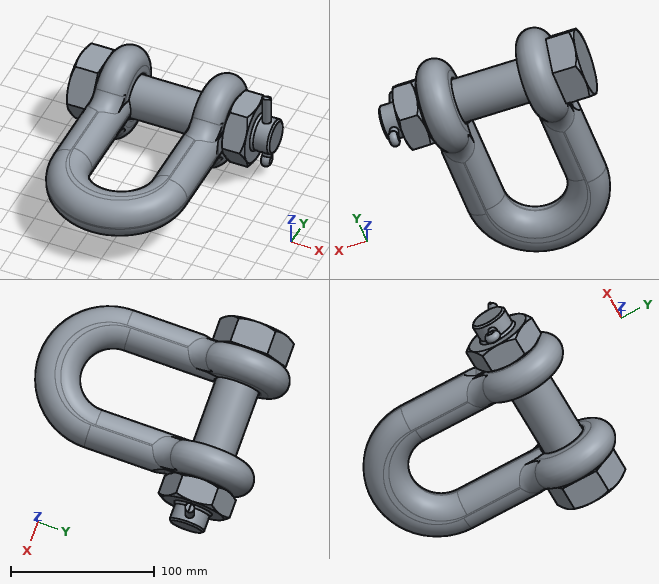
import cadquery as cq
import math


overall_length = 172.0
leg_offset = 37.2
leg_width = 28.7
seam_half = 0.5
inner_bend_y = -83.3
bore_radius = 16.7

eye_radius = 34.0
rim_radius = 11.5
pad_radius = 17.9
pad_half = 12.0
neck_fillet = 20.6
neck_half = 11.4
neck_sink = 0.02
neck_steps = 4

flat_end_y = -27.7
flat_runout_y = -35.5

shank_radius = 15.8
head_thickness = 19.5
head_flats = 47.5
nut_gap = 0.5
nut_thickness = 17.4
nut_flats = 45.8
hex_chamfer_angle = 30
hex_chamfer_inset = 0.2
tip_end_x = 81.2
tip_root_radius = 14.1
tip_radius = 12.9
tip_root_length = 2.0
tip_chamfer = 1.4

cotter_x = 74.0
cotter_radius = 3.3
cotter_long_top = 34.8
cotter_short_top = 32.5
cotter_bottom = -28.2
cotter_loop_hole = 2.4

leg_half = leg_width / 2
outer_bend_y = eye_radius - overall_length + leg_offset + leg_half
rim_center_radius = eye_radius - rim_radius
ear_outer_x = leg_offset + pad_half
leg_outer_x = leg_offset + leg_half
nut_x = ear_outer_x + nut_gap
nut_end_x = nut_x + nut_thickness


def half_section(side, start_y):
    """Half of the right leg's section, facing -Y: side +1 is the outer half, -1 the inner."""
    corner_radius = leg_half - seam_half
    arc_middle = seam_half + corner_radius * math.sqrt(0.5)
    seam_x = leg_offset + side * seam_half
    arc_x = leg_offset + side * arc_middle
    edge_x = leg_offset + side * leg_half
    return (
        cq.Workplane("XZ", origin=(0, start_y, 0))
        .moveTo(leg_offset, -leg_half)
        .lineTo(seam_x, -leg_half)
        .threePointArc((arc_x, -arc_middle), (edge_x, -seam_half))
        .lineTo(edge_x, seam_half)
        .threePointArc((arc_x, arc_middle), (seam_x, leg_half))
        .lineTo(leg_offset, leg_half)
        .close()
    )


def right_leg():
    """Leg from the bolt axis down to the bend, its inner half ending first."""
    outer_half = half_section(1, 0).extrude(-outer_bend_y)
    inner_half = half_section(-1, 0).extrude(-inner_bend_y)
    return outer_half.union(inner_half)


def bend():
    """U-bend: two half-tubes on different centres and the crescent between them."""
    axis = ((0, 0, 0), (0, -1, 0))
    outer_half = half_section(1, outer_bend_y).revolve(180, *axis)
    inner_half = half_section(-1, inner_bend_y).revolve(180, *axis)
    crescent = (
        cq.Workplane("XY", origin=(0, 0, -leg_half))
        .moveTo(leg_offset, inner_bend_y)
        .threePointArc((0, inner_bend_y - leg_offset), (-leg_offset, inner_bend_y))
        .lineTo(-leg_offset, outer_bend_y)
        .threePointArc((0, outer_bend_y - leg_offset), (leg_offset, outer_bend_y))
        .close()
        .extrude(leg_width)
    )
    return crescent.union(outer_half).union(inner_half)


def right_eye():
    """Round-rimmed disc whose sides rise as a shallow cone to a flat pad."""
    return (
        cq.Workplane("XY", origin=(leg_offset, 0, 0))
        .moveTo(-pad_half, 0)
        .lineTo(-pad_half, pad_radius)
        .lineTo(-rim_radius, rim_center_radius)
        .threePointArc((0, eye_radius), (rim_radius, rim_center_radius))
        .lineTo(pad_half, pad_radius)
        .lineTo(pad_half, 0)
        .close()
        .revolve(360, (0, 0, 0), (1, 0, 0))
    )


def neck_slice(offset):
    """Slice of the neck across X: origin, eye, concave arc tangent to eye and leg, leg, back to origin."""
    rim_drop = rim_radius - math.sqrt(rim_radius ** 2 - offset ** 2)
    leg_drop = leg_half - math.sqrt(leg_half ** 2 - offset ** 2)
    eye_slice_radius = eye_radius - rim_drop - neck_sink
    leg_slice_z = leg_half - leg_drop - neck_sink
    center_z = leg_slice_z + neck_fillet
    center_y = -math.sqrt((eye_slice_radius + neck_fillet) ** 2 - center_z ** 2)
    angle = math.atan2(-center_y, center_z)
    eye_point = (-eye_slice_radius * math.sin(angle), eye_slice_radius * math.cos(angle))
    arc_point = (
        center_y + neck_fillet * math.sin(angle / 2),
        center_z - neck_fillet * math.cos(angle / 2),
    )
    return (
        cq.Workplane("YZ", origin=(leg_offset + offset, 0, 0))
        .lineTo(*eye_point)
        .threePointArc(arc_point, (center_y, leg_slice_z))
        .lineTo(center_y, 0)
        .close()
        .val()
    )


def right_neck():
    """Concave web on top of the leg that blends it into the eye, lofted through slices across X."""
    slice_angles = [math.radians(90 * i / neck_steps) for i in range(-neck_steps, neck_steps + 1)]
    slices = [neck_slice(neck_half * math.sin(angle)) for angle in slice_angles]
    return cq.Workplane(cq.Solid.makeLoft(slices))


def right_leg_relief():
    """Flat-sided cut with a sloping end that clears the hex beside the leg."""
    return (
        cq.Workplane("XY", origin=(0, 0, -leg_half))
        .moveTo(ear_outer_x, 0)
        .lineTo(ear_outer_x, flat_end_y)
        .lineTo(leg_outer_x, flat_runout_y)
        .lineTo(leg_outer_x + leg_half, flat_runout_y)
        .lineTo(leg_outer_x + leg_half, 0)
        .close()
        .extrude(leg_width)
    )


def make_bow():
    """Right leg with its bored ear, the mirrored left one, and the bend."""
    neck = right_neck()
    bore = cq.Workplane("YZ").circle(bore_radius).extrude(ear_outer_x)
    side = (
        right_leg()
        .cut(right_leg_relief())
        .union(right_eye())
        .union(neck)
        .union(neck.mirror("XY"))
        .cut(bore)
    )
    return bend().union(side).union(side.mirror("YZ"))


def hexagon(x_start, thickness, flats):
    """Hex prism along +X with a corner on the Y axis and chamfered corners at its +X end."""
    corners = flats / math.cos(math.pi / 6)
    prism = cq.Workplane("YZ", origin=(x_start, 0, 0)).polygon(6, corners).extrude(thickness)
    face_radius = flats / 2 - hex_chamfer_inset
    chamfer_depth = (corners / 2 - face_radius) * math.tan(math.radians(hex_chamfer_angle))
    envelope = (
        cq.Workplane("XY")
        .moveTo(x_start, 0)
        .lineTo(x_start, corners / 2)
        .lineTo(x_start + thickness - chamfer_depth, corners / 2)
        .lineTo(x_start + thickness, face_radius)
        .lineTo(x_start + thickness, 0)
        .close()
        .revolve(360, (0, 0, 0), (1, 0, 0))
    )
    return prism.intersect(envelope)


def nut():
    """Hexagon chamfered at both ends."""
    chamfered_end = hexagon(nut_x, nut_thickness, nut_flats)
    return chamfered_end.intersect(chamfered_end.mirror("YZ", (nut_x + nut_thickness / 2, 0, 0)))


def shank():
    """Shank from the head to the nut, then a tapered root and a chamfered tip."""
    return (
        cq.Workplane("XY")
        .moveTo(-ear_outer_x, 0)
        .lineTo(-ear_outer_x, shank_radius)
        .lineTo(nut_end_x, shank_radius)
        .lineTo(nut_end_x, tip_root_radius)
        .lineTo(nut_end_x + tip_root_length, tip_radius)
        .lineTo(tip_end_x - tip_chamfer, tip_radius)
        .lineTo(tip_end_x, tip_radius - tip_chamfer)
        .lineTo(tip_end_x, 0)
        .close()
        .revolve(360, (0, 0, 0), (1, 0, 0))
    )


def cotter_pin():
    """Two half-round legs, the one facing -Y longer, on a round-edged loop below the bolt."""
    loop_z = cotter_bottom + cotter_radius + cotter_loop_hole
    legs = (
        cq.Workplane("XY", origin=(cotter_x, 0, loop_z))
        .circle(cotter_radius)
        .extrude(cotter_long_top - loop_z)
    )
    above_short_leg = (
        cq.Workplane("XY", origin=(cotter_x, 0, cotter_short_top))
        .rect(2 * cotter_radius, 2 * cotter_radius)
        .extrude(cotter_long_top - cotter_short_top)
        .translate((0, cotter_radius, 0))
    )
    loop = (
        cq.Workplane("XY", origin=(cotter_x, 0, loop_z))
        .moveTo(-cotter_radius, 0)
        .lineTo(-cotter_radius, cotter_loop_hole)
        .threePointArc((0, cotter_loop_hole + cotter_radius), (cotter_radius, cotter_loop_hole))
        .lineTo(cotter_radius, 0)
        .close()
        .revolve(360, (0, 0, 0), (1, 0, 0))
    )
    loop_hole = (
        cq.Workplane("YZ", origin=(cotter_x - cotter_radius, 0, loop_z))
        .circle(cotter_loop_hole)
        .extrude(2 * cotter_radius)
    )
    return legs.cut(above_short_leg).union(loop).cut(loop_hole)


def make_bolt():
    """Bolt with its nut and cotter pin."""
    head = hexagon(ear_outer_x, head_thickness, head_flats).mirror("YZ")
    return shank().union(head).union(nut()).union(cotter_pin())


bow = make_bow()
bolt = make_bolt()

result = cq.Compound.makeCompound([bow.solids().val(), bolt.solids().val()])